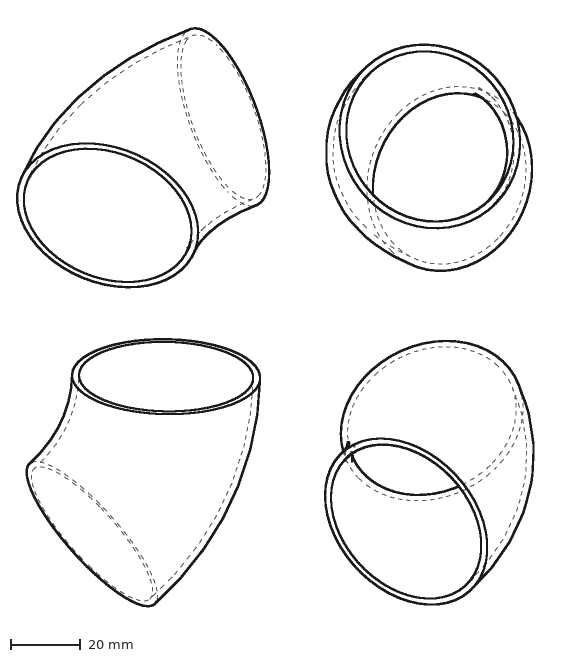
import cadquery as cq

outer_diameter = 54.0
wall_thickness = 2.0
bend_radius = 70.0
bend_angle = 45.0

outer_radius = outer_diameter / 2
inner_radius = outer_radius - wall_thickness


def make_elbow():
    """Ring section in the XZ plane, swept about a Z-parallel axis on the +X side.

    The first pipe end is centred on the origin and faces -Y; the pipe bends from +Y toward +X.
    """
    ring = cq.Workplane("XZ").circle(outer_radius).circle(inner_radius)
    axis_start = (bend_radius, 0)
    axis_end = (bend_radius, -1)
    return ring.revolve(bend_angle, axis_start, axis_end)


result = make_elbow()